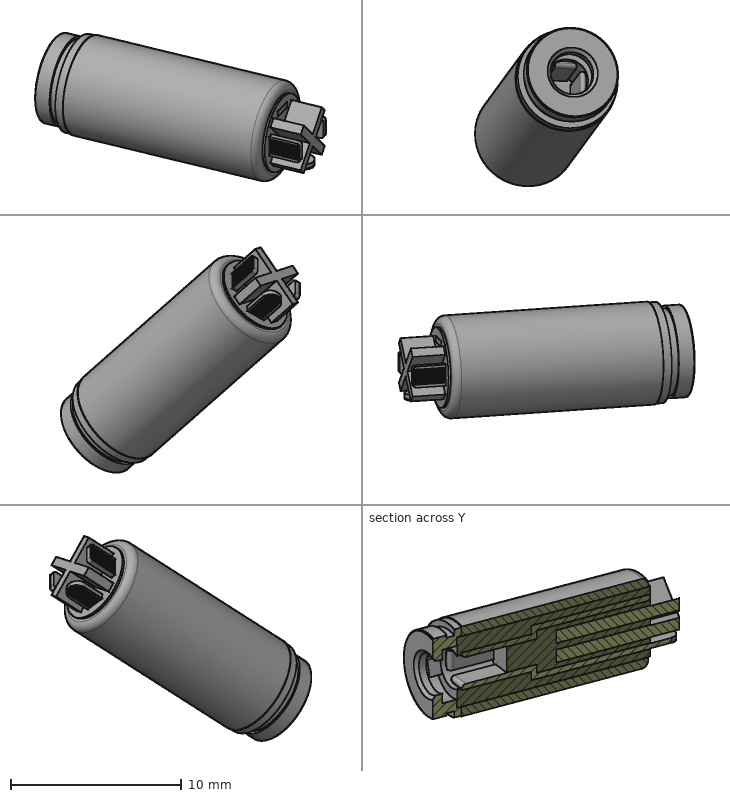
import cadquery as cq

total_length = 16.9
nose_end_x = 2.0
sleeve_end_x = 14.74
insulator_end_x = 14.87
tail_end_x = 16.85

nose_radius = 2.74
nose_chamfer = 0.07
groove_radius = 2.59
groove_start_x = 0.98
groove_end_x = 1.49
collar_radius = 2.99
mouth_radius = 1.5
mouth_bore_radius = 1.28
mouth_cone_depth = 0.22
nose_wall = 0.71
chamber_radius = 1.86

sleeve_radius = 3.05
sleeve_rear_fillet = 0.47

insulator_start_x = 1.67
insulator_radius = 2.38
socket_radius = 1.25
socket_end_x = 5.07

key_start_x = 0.83
key_inner = 1.25
key_half_width = 0.54
key_angle = -14.5

contact_half_width = 0.65
contact_thickness = 0.35
blade_start_x = 2.03
blade_inner = 0.86
blade_lead_in = 0.25
jog_x = 6.76
tail_outer = 1.77
tip_corner_radius = 0.2
round_tip_radius = 0.63
rib_groove_count = 7
rib_groove_pitch = 0.144
rib_groove_width = 0.05
rib_groove_depth = 0.05

shield_start_x = 8.45
arm_thickness = 0.57
arm_tip_distance = 2.0
arm_angle = 45


def cylinder_along_x(radius, start_x, end_x):
    return cq.Workplane("YZ").workplane(offset=start_x).circle(radius).extrude(end_x - start_x)


def make_nose():
    outline = [
        (0, mouth_radius),
        (0, nose_radius - nose_chamfer),
        (nose_chamfer, nose_radius),
        (groove_start_x, nose_radius),
        (groove_start_x, groove_radius),
        (groove_end_x, groove_radius),
        (groove_end_x, collar_radius),
        (nose_end_x, collar_radius),
        (nose_end_x, insulator_radius),
        (insulator_start_x, insulator_radius),
        (insulator_start_x, chamber_radius),
        (nose_wall, chamber_radius),
        (nose_wall, mouth_bore_radius),
        (mouth_cone_depth, mouth_bore_radius),
    ]
    return cq.Workplane("XY").polyline(outline).close().revolve(360, (0, 0, 0), (1, 0, 0))


def make_sleeve():
    tube = cylinder_along_x(sleeve_radius, nose_end_x, sleeve_end_x)
    tube = tube.faces(">X").edges().fillet(sleeve_rear_fillet)
    return tube.cut(cylinder_along_x(insulator_radius, nose_end_x, sleeve_end_x))


def make_shield():
    length = tail_end_x - shield_start_x
    profile = cq.Workplane("YZ").workplane(offset=shield_start_x)
    arm_pair = profile.rect(2 * arm_tip_distance, arm_thickness).extrude(length)
    rising = arm_pair.rotate((0, 0, 0), (1, 0, 0), arm_angle)
    falling = arm_pair.rotate((0, 0, 0), (1, 0, 0), -arm_angle)
    return rising.union(falling)


def make_contact(angle, end_x, corner_radius=None):
    """One contact built above the axis, then turned by angle about X.

    A contact with a corner radius has a ribbed tail with rounded tip corners.
    """
    blade_outer = blade_inner + contact_thickness
    tail_inner = tail_outer - contact_thickness
    side_outline = [
        (blade_start_x, blade_inner),
        (jog_x + contact_thickness, blade_inner),
        (jog_x + contact_thickness, tail_inner),
        (end_x, tail_inner),
        (end_x, tail_outer),
        (jog_x, tail_outer),
        (jog_x, blade_outer),
        (blade_start_x, blade_outer),
    ]
    contact = cq.Workplane("XZ").polyline(side_outline).close().extrude(contact_half_width, both=True)
    contact = contact.faces("<X").edges("<Z").fillet(blade_lead_in)
    if corner_radius:
        contact = contact.faces(">X").edges("|Z").fillet(corner_radius)
        contact = contact.cut(make_rib_grooves(end_x))
    return contact.rotate((0, 0, 0), (1, 0, 0), angle)


def make_rib_grooves(end_x):
    """Parallel grooves in the outer face of the exposed part of a tail."""
    length = end_x - insulator_end_x
    return (
        cq.Workplane("XY")
        .workplane(offset=tail_outer - rib_groove_depth)
        .center(insulator_end_x + length / 2, 0)
        .rarray(0.17, rib_groove_pitch, 1, rib_groove_count)
        .rect(length, rib_groove_width)
        .extrude(rib_groove_depth)
    )


def make_key():
    """Segment of the chamber beyond a flat, turned about X from the +Y direction."""
    chamber_fill = cylinder_along_x(chamber_radius, key_start_x, insulator_start_x)
    key_envelope = cq.Workplane("XY").box(
        insulator_start_x - key_start_x,
        chamber_radius - key_inner,
        2 * key_half_width,
        centered=(False, False, True),
    )
    key_envelope = key_envelope.translate((key_start_x, key_inner, 0))
    return chamber_fill.intersect(key_envelope.rotate((0, 0, 0), (1, 0, 0), key_angle))


def make_insulator(inserts):
    core = cylinder_along_x(insulator_radius, insulator_start_x, insulator_end_x)
    core = core.cut(cylinder_along_x(socket_radius, insulator_start_x, socket_end_x))
    core = core.union(make_key())
    for insert in inserts:
        core = core.cut(insert)
    return core


nose = make_nose()
sleeve = make_sleeve()
shield = make_shield()

contacts = [
    make_contact(0, insulator_end_x),
    make_contact(90, tail_end_x, tip_corner_radius),
    make_contact(180, total_length, round_tip_radius),
    make_contact(270, tail_end_x, tip_corner_radius),
]
insulator = make_insulator([shield, *contacts])

result = cq.Compound.makeCompound(
    [
        nose.val(),
        sleeve.val(),
        insulator.val(),
        shield.val(),
        *[contact.val() for contact in contacts],
    ]
)